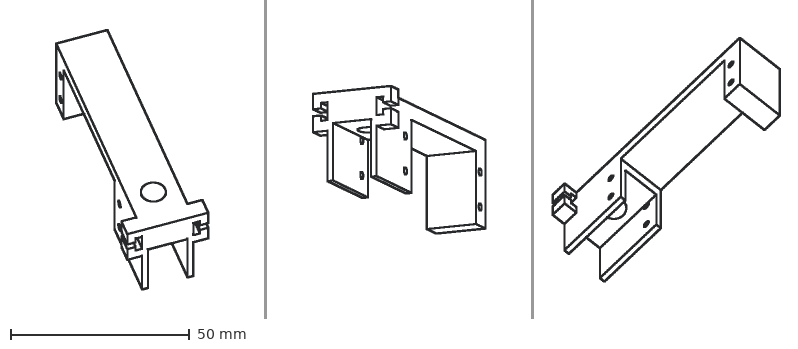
import cadquery as cq

length = 73.0
height = 25.5
body_width = 15.2
beam_thickness = 4.5

leg_length = 6.4
cheek_start = 49.5
cheek_thickness = 1.75
roof_thickness = 9.0

pin_diameter = 2.0
pin_x_positions = (3.65, 53.65)
pin_pitch = 10.0
pin_depths = (pin_pitch, 2 * pin_pitch)
bore_diameter = 7.0
bore_x = 60.7

rail_span = 24.0
rail_length = 5.05
rail_height = 11.0
lip_width = 2.5
slot_top_depth = 2.85
slot_height = 5.1
slot_mouth_top_depth = 4.45
slot_mouth_height = 2.0


def block(x_start, x_end, width, top_depth, block_height):
    """Box centred on Y, with its top face top_depth below the top of the part."""
    return (
        cq.Workplane("XY")
        .box(x_end - x_start, width, block_height, centered=(False, True, False))
        .translate((x_start, 0, height - top_depth - block_height))
    )


def make_body():
    """Beam with a solid leg at one end and two cheeks under a thick roof at the other."""
    body = block(0, length, body_width, 0, height)
    opening = block(leg_length, cheek_start, body_width, beam_thickness, height - beam_thickness)
    cheek_gap = body_width - 2 * cheek_thickness
    channel = block(cheek_start, length, cheek_gap, roof_thickness, height - roof_thickness)
    return body.cut(opening).cut(channel)


def make_rails():
    """Pair of slotted rails, one on each side of the body."""
    rail_start = length - rail_length
    slot_span = rail_span - 2 * lip_width
    rails = block(rail_start, length, rail_span, 0, rail_height)
    slots = block(rail_start, length, slot_span, slot_top_depth, slot_height)
    mouths = block(rail_start, length, rail_span, slot_mouth_top_depth, slot_mouth_height)
    core = block(rail_start, length, body_width, 0, rail_height)
    return rails.cut(slots).cut(mouths).cut(core)


def make_pin_holes():
    """Cross holes along Y through the leg and both cheeks."""
    points = [(x, height - depth) for x in pin_x_positions for depth in pin_depths]
    return (
        cq.Workplane("XZ")
        .pushPoints(points)
        .circle(pin_diameter / 2)
        .extrude(body_width / 2, both=True)
    )


def make_bore():
    """Vertical bore through the roof between the cheeks."""
    return cq.Workplane("XY").center(bore_x, 0).circle(bore_diameter / 2).extrude(height)


result = make_body().union(make_rails()).cut(make_pin_holes()).cut(make_bore())